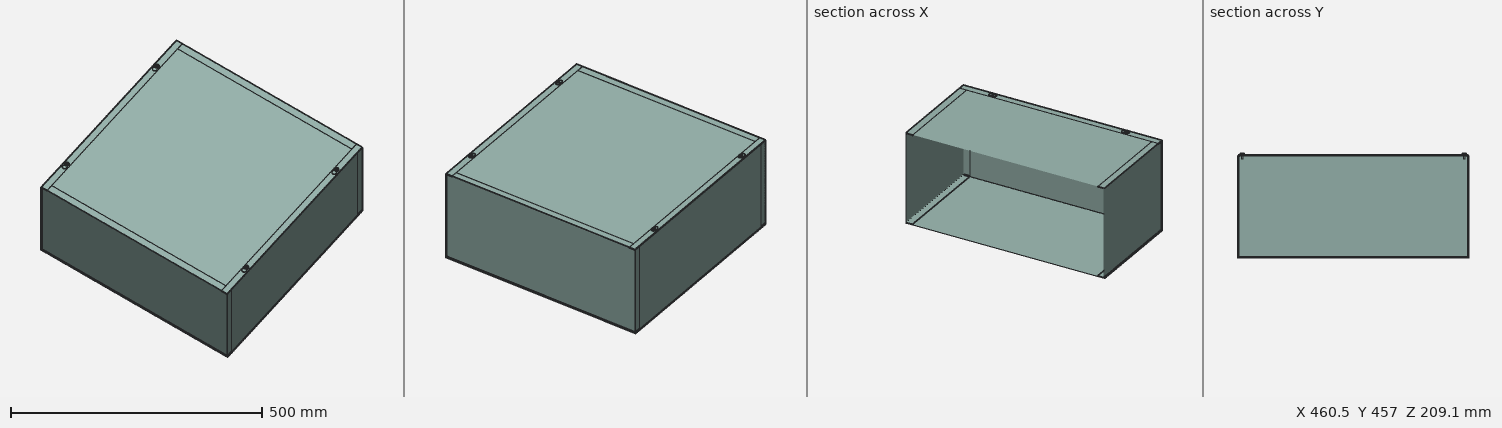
import cadquery as cq

box_width = 460.5
box_length = 457.0
box_height = 206.3
sheet = 1.55
body_bend = 1.65
end_bend = 2.5
flange_depth = 15.5

screw_x = 221.0
screw_y = 152.5
shank_diameter = 3.75
shank_length = 9.0
head_diameter = 9.5
crown_diameter = 7.5
head_height = 2.8
socket_diameter = 4.0
socket_depth = 1.0

keyhole_slot_width = 7.5
keyhole_entry_diameter = head_diameter
keyhole_travel = 8.0

cover_bottom = box_height - sheet
ledge_bottom = cover_bottom - sheet
inner_width = box_width - 2 * sheet
ledge_gap = box_width - 2 * flange_depth
front_y = -box_length / 2
screw_points = [(x, y) for x in (-screw_x, screw_x) for y in (-screw_y, screw_y)]


def block(x_size, y_size, bottom, top):
    """Block centred on the Z axis between two levels."""
    return (
        cq.Workplane("XY", origin=(0, 0, bottom))
        .box(x_size, y_size, top - bottom, centered=(True, True, False))
    )


def make_body():
    """Bent sheet wrapper: floor, two sides and a ledge turned in along the top of each side."""
    shell = block(box_width, box_length, 0, cover_bottom).edges("|Y and >Z").fillet(body_bend)
    interior = block(inner_width, box_length, sheet, ledge_bottom)
    opening = block(ledge_gap, box_length, ledge_bottom, cover_bottom)
    screw_holes = (
        cq.Workplane("XY", origin=(0, 0, ledge_bottom))
        .pushPoints(screw_points)
        .circle(shank_diameter / 2)
        .extrude(sheet)
    )
    return shell.cut(interior).cut(opening).cut(screw_holes)


def make_front_end():
    """Front wall with a flange turned inward along each of its four sides."""
    bottom = sheet
    pan = (
        block(inner_width, flange_depth, bottom, cover_bottom)
        .translate((0, front_y + flange_depth / 2, 0))
        .faces("<Y").edges().fillet(end_bend)
    )
    hollow = (
        block(inner_width - 2 * sheet, flange_depth, bottom + sheet, cover_bottom - sheet)
        .translate((0, front_y + sheet + flange_depth / 2, 0))
        .faces("<Y").edges().fillet(end_bend - sheet)
    )
    pan = pan.cut(hollow)

    ledge_clearance = (
        block(box_width, box_length, ledge_bottom, cover_bottom)
        .cut(block(ledge_gap, box_length, ledge_bottom, cover_bottom))
    )
    pan = pan.cut(ledge_clearance)

    relief_top = bottom + end_bend
    corner_reliefs = (
        block(inner_width, flange_depth, bottom, relief_top)
        .cut(block(inner_width - 2 * end_bend, flange_depth, bottom, relief_top))
        .translate((0, front_y + end_bend + flange_depth / 2, 0))
    )
    return pan.cut(corner_reliefs)


def make_cover():
    """Flat lid on the ledges, with a keyhole for each screw."""
    lid = block(box_width - 2 * body_bend, box_length, cover_bottom, box_height)
    slots = (
        cq.Workplane("XY", origin=(0, -keyhole_travel / 2, cover_bottom))
        .pushPoints(screw_points)
        .slot2D(keyhole_travel + keyhole_slot_width, keyhole_slot_width, 90)
        .extrude(sheet)
    )
    entries = (
        cq.Workplane("XY", origin=(0, -keyhole_travel, cover_bottom))
        .pushPoints(screw_points)
        .circle(keyhole_entry_diameter / 2)
        .extrude(sheet)
    )
    return lid.cut(slots).cut(entries)


def make_screw(x, y):
    """Screw with a tapered head resting on the cover and a round socket in its crown."""
    screw = (
        cq.Workplane("XZ")
        .moveTo(0, -shank_length)
        .lineTo(shank_diameter / 2, -shank_length)
        .lineTo(shank_diameter / 2, 0)
        .lineTo(head_diameter / 2, 0)
        .lineTo(crown_diameter / 2, head_height)
        .lineTo(0, head_height)
        .close()
        .revolve(360, (0, 0, 0), (0, 1, 0))
    )
    socket = (
        cq.Workplane("XY", origin=(0, 0, head_height - socket_depth))
        .circle(socket_diameter / 2)
        .extrude(socket_depth)
    )
    return screw.cut(socket).translate((x, y, box_height))


body = make_body()
front_end = make_front_end()
back_end = front_end.mirror("XZ")
cover = make_cover()
screws = [make_screw(x, y) for x, y in screw_points]

bodies = [body, front_end, back_end, cover, *screws]
result = cq.Compound.makeCompound([item.solids().val() for item in bodies])